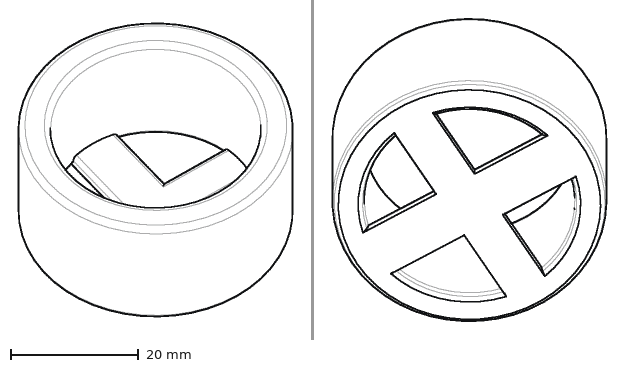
import cadquery as cq
import math

outer_diameter = 43.0
bore_diameter = 33.0
height = 22.0
rim_round = 1.0

bottom_chamfer = 0.95
blend_radius = 1.0

cross_thickness = 2.0
x_bar_width = 8.55
y_bar_width = 7.05
bar_round = 0.75

outer_radius = outer_diameter / 2
bore_radius = bore_diameter / 2


def ring():
    """Revolved ring with rounded top edges and blended bottom chamfers."""
    half_turn = math.radians(45) / 2
    tangent = blend_radius * math.tan(half_turn)
    diagonal = tangent * math.sqrt(0.5)
    wall_start = bottom_chamfer + tangent
    chamfer_end = bottom_chamfer - diagonal
    arc_mid_inset = blend_radius * (1 - math.cos(half_turn))
    arc_mid_z = wall_start - blend_radius * math.sin(half_turn)
    round_mid = rim_round * (1 - math.sqrt(0.5))
    top_wall = height - rim_round

    profile = (
        cq.Workplane("XZ")
        .moveTo(bore_radius + bottom_chamfer, 0)
        .lineTo(outer_radius - bottom_chamfer, 0)
        .lineTo(outer_radius - diagonal, chamfer_end)
        .threePointArc((outer_radius - arc_mid_inset, arc_mid_z), (outer_radius, wall_start))
        .lineTo(outer_radius, top_wall)
        .threePointArc((outer_radius - round_mid, height - round_mid), (outer_radius - rim_round, height))
        .lineTo(bore_radius + rim_round, height)
        .threePointArc((bore_radius + round_mid, height - round_mid), (bore_radius, top_wall))
        .lineTo(bore_radius, wall_start)
        .threePointArc((bore_radius + arc_mid_inset, arc_mid_z), (bore_radius + diagonal, chamfer_end))
        .close()
    )
    return profile.revolve(360, (0, 0, 0), (0, 1, 0))


def cross():
    """Two crossing bars that end inside the ring wall, with rounded upper edges."""
    bar_length = bore_diameter + 2 * bottom_chamfer
    x_bar = cq.Workplane("XY").rect(bar_length, x_bar_width).extrude(cross_thickness)
    y_bar = cq.Workplane("XY").rect(y_bar_width, bar_length).extrude(cross_thickness)
    long_bars = x_bar.union(y_bar)
    limit = cq.Workplane("XY").circle(bore_radius + bottom_chamfer).extrude(cross_thickness)
    side_edges = cq.selectors.BoxSelector(
        (-bore_radius, -bore_radius, cross_thickness - bar_round / 2),
        (bore_radius, bore_radius, cross_thickness + bar_round / 2),
    )
    return long_bars.edges(side_edges).fillet(bar_round).intersect(limit)


result = ring().union(cross())